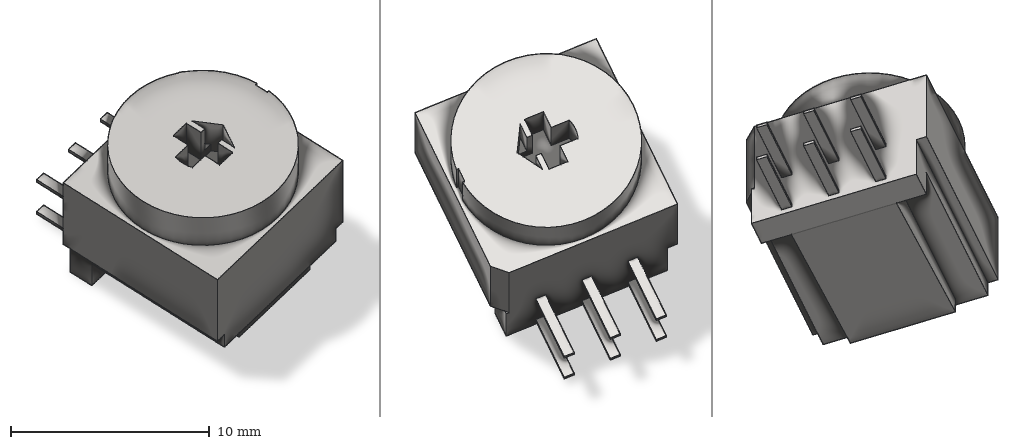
import cadquery as cq

body_side = 10.0
overall_length = 13.5
overall_height = 9.8
knob_height = 2.19
body_top = overall_height - knob_height
body_bottom = 2.73
corner_chamfer = 0.72

base_width = 8.9
base_bottom = 1.73
leg_length = 1.4

taper_width = 5.67
taper_end_inset = 0.36
taper_end_bottom = 0.72

pin_rows = 2
pins_per_row = 3
pin_pitch = 2.54
pin_width = 0.55
pin_thickness = 0.2
lowest_pin_z = 0.46
pin_length = overall_length - body_side

knob_diameter = 9.6
notch_width = 0.75
notch_depth = 0.14

cross_length = 3.01
cross_arm_width = 1.04
shaft_width = 1.1
shaft_end_radius = 1.6
arrow_tip_y = 1.6
arrow_base_y = 0.82
arrow_width = 2.75
arrow_depth = 1.67
cross_depth = knob_height

left = -body_side / 2
right = body_side / 2


def make_housing():
    height = body_top - body_bottom
    block = cq.Workplane("XY").workplane(offset=body_bottom).rect(body_side, body_side).extrude(height)
    return block.edges("|Z and <X and >Y").chamfer(corner_chamfer)


def make_base():
    leg_end = left + leg_length
    outline = [
        (left, 0),
        (leg_end, 0),
        (leg_end, base_bottom),
        (right, base_bottom),
        (right, body_bottom),
        (left, body_bottom),
    ]
    base = cq.Workplane("XZ").polyline(outline).close().extrude(base_width / 2, both=True)

    taper_end = right - taper_end_inset
    taper_outline = [
        (leg_end, 0),
        (taper_end, taper_end_bottom),
        (taper_end, base_bottom),
        (leg_end, base_bottom),
    ]
    taper = cq.Workplane("XZ").polyline(taper_outline).close().extrude(taper_width / 2, both=True)
    return base.union(taper)


def make_pins():
    face = cq.Workplane("YZ", origin=(left, 0, 0))
    middle_z = lowest_pin_z + pin_pitch * (pin_rows - 1) / 2
    grid = face.center(0, middle_z).rarray(pin_pitch, pin_pitch, pins_per_row, pin_rows)
    return grid.rect(pin_width, pin_thickness).extrude(-pin_length)


def make_knob():
    base_plane = cq.Workplane("XY").workplane(offset=body_top)
    knob = base_plane.circle(knob_diameter / 2).extrude(knob_height)
    notch = base_plane.center(0, knob_diameter / 2).rect(notch_width, 2 * notch_depth).extrude(knob_height)
    return knob.cut(notch)


def make_arrow_recess():
    top_plane = cq.Workplane("XY").workplane(offset=overall_height)
    head = [(-arrow_width / 2, arrow_base_y), (arrow_width / 2, arrow_base_y), (0, arrow_tip_y)]
    head_half_slope = (arrow_tip_y - arrow_base_y) / (arrow_width / 2)
    half_shaft = shaft_width / 2
    shoulder_y = arrow_tip_y - head_half_slope * half_shaft
    shaft_end_y = -(shaft_end_radius**2 - half_shaft**2) ** 0.5

    arrow = top_plane.polyline(head).close().extrude(-arrow_depth)
    shaft = (
        top_plane.moveTo(-half_shaft, shaft_end_y)
        .threePointArc((0, -shaft_end_radius), (half_shaft, shaft_end_y))
        .lineTo(half_shaft, shoulder_y)
        .lineTo(0, arrow_tip_y)
        .lineTo(-half_shaft, shoulder_y)
        .close()
        .extrude(-cross_depth)
    )
    arms = top_plane.rect(cross_length, cross_arm_width).extrude(-cross_depth)
    return arrow.union(shaft).union(arms)


result = make_housing().union(make_base()).union(make_pins()).union(make_knob()).cut(make_arrow_recess())